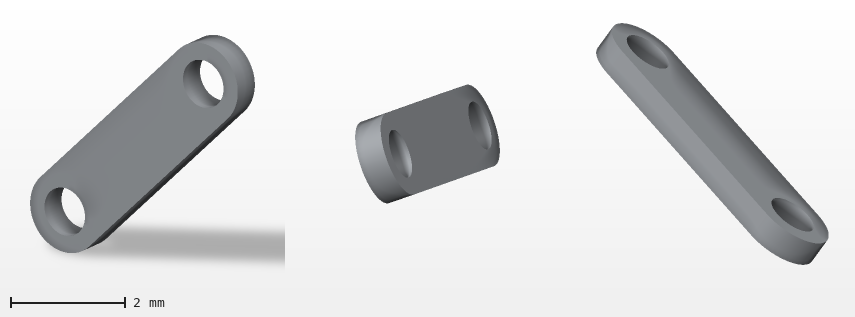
import cadquery as cq
import math

overall_size = 4.5
thickness = 0.5
end_width = 1.5
hole_diameter = 0.878
tilt = 45.0

centre_offset = overall_size - end_width
centre_distance = centre_offset / math.cos(math.radians(tilt))

back_plane = cq.Workplane("XZ", origin=(0, thickness / 2, 0))
plate = back_plane.slot2D(centre_distance + end_width, end_width, tilt).extrude(thickness)

hole_centres = [(side * centre_offset / 2, side * centre_offset / 2) for side in (-1, 1)]
holes = back_plane.pushPoints(hole_centres).circle(hole_diameter / 2).extrude(thickness)

result = plate.cut(holes)